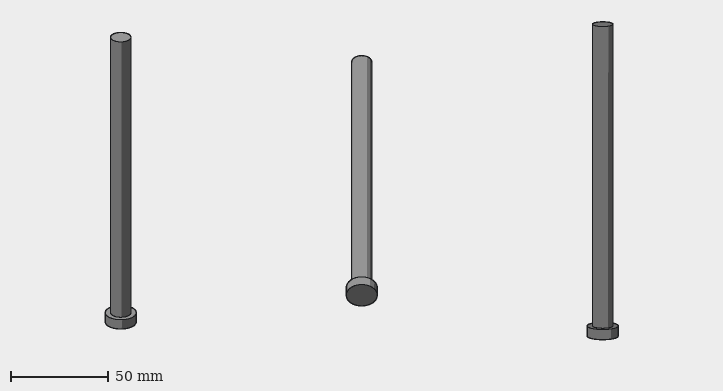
import cadquery as cq

total_length = 165.0
head_diameter = 16.0
head_height = 5.5
shank_diameter = 10.5

head = cq.Workplane("XY").circle(head_diameter / 2).extrude(head_height)
shank = cq.Workplane("XY").circle(shank_diameter / 2).extrude(total_length)

result = head.union(shank)